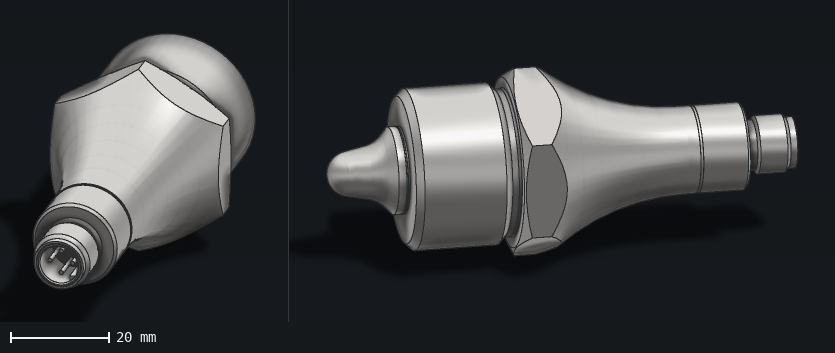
import cadquery as cq
import math


PLUG_RADIUS = 12.0 / 2
PLUG_TIP_RADIUS = 10.6 / 2
PLUG_NECK_RADIUS = 10.4 / 2
TIP_LENGTH = 1.5
TIP_CHAMFER_END = 2.2
PLUG_BACK_CHAMFER_START = 7.8
PLUG_NECK_START = 8.3
PLUG_NECK_END = 9.9

BORE_RADIUS = 4.1
BORE_DEPTH = 8.7
BORE_CHAMFER = 0.3
RIM_GROOVE_INNER_RADIUS = 9.4 / 2
RIM_GROOVE_OUTER_RADIUS = 9.6 / 2
RIM_GROOVE_DEPTH = 0.3
PIN_COUNT = 4
PIN_RADIUS = 0.44
PIN_CIRCLE_RADIUS = 2.4
PIN_RECESS = 1.7
KEY_CORNER = 2.2
KEY_RECESS = 0.5

SHANK_RADIUS = 18.0 / 2
SHANK_START = 10.5
SHANK_CHAMFER = 0.6
SHANK_GROOVE_START = 20.3
SHANK_GROOVE_END = 20.9
GROOVE_DEPTH = 0.1

FLARE_START = 23.2
FLARE_RADIUS = 46.0

HEX_CORNER_RADIUS = 40.8 / 2
HEX_SIDE_DISTANCE = 36.0 / 2
HEX_BLANK_RADIUS = 20.6
HEX_FACE_RADIUS = 17.4
HEX_CHAMFER_START = 57.8
HEX_END = 59.4

COLLAR_RADIUS = 33.2 / 2
COLLAR_NECK_RADIUS = 30.2 / 2
COLLAR_NECK_START = 59.9
COLLAR_NECK_FLARE = 0.2
COLLAR_START = 61.3
COLLAR_END = 81.3
COLLAR_CHAMFER = COLLAR_RADIUS - COLLAR_NECK_RADIUS

NOSE_GROOVE_START = 81.7
NOSE_GROOVE_END = 82.0
NOSE_CYLINDER_END = 83.7
NOSE_CONE_END = 85.3
NOSE_CONE_END_RADIUS = 7.3
TAPER_START = 88.5
TAPER_START_RADIUS = 5.5
TAPER_ANGLE = 11.0
DOME_RADIUS = 9.4 / 2
NOSE_END = 96.8


def flare_point(angle):
    """Point on the concave arc, at an angle (radians) from its tangent start on the shank."""
    return (
        SHANK_RADIUS + FLARE_RADIUS * (1 - math.cos(angle)),
        FLARE_START + FLARE_RADIUS * math.sin(angle),
    )


def dome_point(angle_deg):
    """Point on the domed end, at an angle (degrees) above the plane across its centre."""
    angle = math.radians(angle_deg)
    centre_y = NOSE_END - DOME_RADIUS
    return (DOME_RADIUS * math.cos(angle), centre_y + DOME_RADIUS * math.sin(angle))


def turned_body():
    """Solid of revolution, with a round blank where the hexagon goes."""
    flare_angle = math.acos(1 - (HEX_BLANK_RADIUS - SHANK_RADIUS) / FLARE_RADIUS)
    groove_radius = SHANK_RADIUS - GROOVE_DEPTH
    profile = (
        cq.Workplane("XY")
        .moveTo(0, 0)
        .lineTo(PLUG_TIP_RADIUS, 0)
        .lineTo(PLUG_TIP_RADIUS, TIP_LENGTH)
        .lineTo(PLUG_RADIUS, TIP_CHAMFER_END)
        .lineTo(PLUG_RADIUS, PLUG_BACK_CHAMFER_START)
        .lineTo(PLUG_NECK_RADIUS, PLUG_NECK_START)
        .lineTo(PLUG_NECK_RADIUS, PLUG_NECK_END)
        .lineTo(PLUG_RADIUS, SHANK_START)
        .lineTo(SHANK_RADIUS - SHANK_CHAMFER, SHANK_START)
        .lineTo(SHANK_RADIUS, SHANK_START + SHANK_CHAMFER)
        .lineTo(SHANK_RADIUS, SHANK_GROOVE_START)
        .lineTo(groove_radius, SHANK_GROOVE_START)
        .lineTo(groove_radius, SHANK_GROOVE_END)
        .lineTo(SHANK_RADIUS, SHANK_GROOVE_END)
        .lineTo(SHANK_RADIUS, FLARE_START)
        .threePointArc(flare_point(flare_angle / 2), flare_point(flare_angle))
        .lineTo(HEX_BLANK_RADIUS, HEX_CHAMFER_START)
        .lineTo(HEX_FACE_RADIUS, HEX_END)
        .lineTo(COLLAR_NECK_RADIUS + COLLAR_NECK_FLARE, HEX_END)
        .lineTo(COLLAR_NECK_RADIUS, COLLAR_NECK_START)
        .lineTo(COLLAR_NECK_RADIUS, COLLAR_START)
        .lineTo(COLLAR_RADIUS, COLLAR_START + COLLAR_CHAMFER)
        .lineTo(COLLAR_RADIUS, COLLAR_END - COLLAR_CHAMFER)
        .lineTo(COLLAR_NECK_RADIUS, COLLAR_END)
        .lineTo(SHANK_RADIUS, COLLAR_END)
        .lineTo(SHANK_RADIUS, NOSE_GROOVE_START)
        .lineTo(groove_radius, NOSE_GROOVE_START)
        .lineTo(groove_radius, NOSE_GROOVE_END)
        .lineTo(SHANK_RADIUS, NOSE_GROOVE_END)
        .lineTo(SHANK_RADIUS, NOSE_CYLINDER_END)
        .lineTo(NOSE_CONE_END_RADIUS, NOSE_CONE_END)
        .tangentArcPoint((TAPER_START_RADIUS, TAPER_START), relative=False)
        .lineTo(*dome_point(TAPER_ANGLE))
        .threePointArc(dome_point((90 + TAPER_ANGLE) / 2), (0, NOSE_END))
        .close()
    )
    return profile.revolve(360, (0, 0, 0), (0, 1, 0))


def hexagon():
    """Prism whose two sides facing X lie slightly farther out than the other four."""
    side_corner_z = HEX_CORNER_RADIUS - HEX_SIDE_DISTANCE * math.tan(math.radians(30))
    right_half = [
        (0, -HEX_CORNER_RADIUS),
        (HEX_SIDE_DISTANCE, -side_corner_z),
        (HEX_SIDE_DISTANCE, side_corner_z),
    ]
    left_half = [(-x, -z) for x, z in right_half]
    return cq.Workplane("XZ").polyline(right_half + left_half).close().extrude(-NOSE_END)


def rod(radius, start_y, end_y):
    """Round bar along Y."""
    return cq.Workplane("XZ", origin=(0, start_y, 0)).circle(radius).extrude(start_y - end_y)


def pins():
    """Contact pins standing on the bore floor, set back from the open end."""
    return (
        cq.Workplane("XZ", origin=(0, PIN_RECESS, 0))
        .polarArray(PIN_CIRCLE_RADIUS, 0, 360, PIN_COUNT)
        .circle(PIN_RADIUS)
        .extrude(PIN_RECESS - BORE_DEPTH)
    )


def coding_key():
    """Square rib in the +X, -Z quarter of the bore; its far corner lies inside the wall."""
    size = BORE_RADIUS - KEY_CORNER
    return cq.Workplane("XY").box(
        size, BORE_DEPTH - KEY_RECESS, size, centered=False
    ).translate((KEY_CORNER, KEY_RECESS, -BORE_RADIUS))


def socket_space():
    """Empty room of the socket: chamfered bore without the pins and the key."""
    bore = rod(BORE_RADIUS, 0, BORE_DEPTH)
    mouth = cq.Workplane(
        cq.Solid.makeCone(
            BORE_RADIUS + BORE_CHAMFER,
            BORE_RADIUS,
            BORE_CHAMFER,
            pnt=cq.Vector(0, 0, 0),
            dir=cq.Vector(0, 1, 0),
        )
    )
    return bore.union(mouth).cut(pins()).cut(coding_key())


def rim_groove():
    """Narrow ring groove in the end face around the bore."""
    return rod(RIM_GROOVE_OUTER_RADIUS, 0, RIM_GROOVE_DEPTH).cut(
        rod(RIM_GROOVE_INNER_RADIUS, 0, RIM_GROOVE_DEPTH)
    )


result = turned_body().intersect(hexagon()).cut(socket_space()).cut(rim_groove())